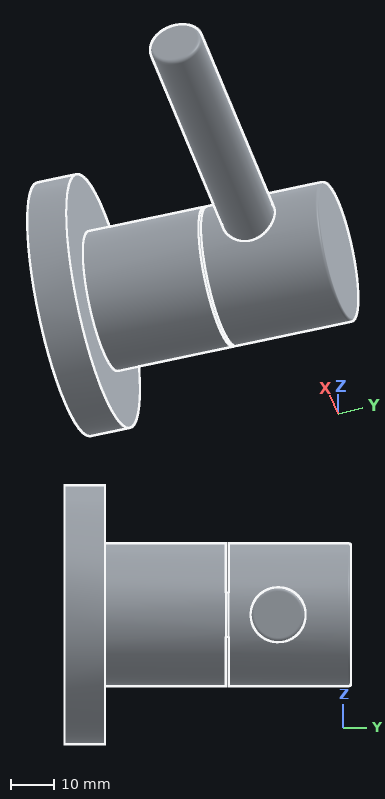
import cadquery as cq

flange_diameter = 60.3
flange_thickness = 9.5
body_diameter = 33.2
total_depth = 66.6
gap_start = 37.5
gap_width = 0.6
neck_diameter = 10.4
cap_edge_radius = 0.6

lever_diameter = 12.8
lever_axis_y = 49.6
lever_edge_radius = 1.0
overall_length = 106.5
lever_tip_x = overall_length - flange_diameter / 2


def disc_along_y(diameter, start, end):
    """Cylinder on the body axis between two Y positions."""
    plane = cq.Workplane("XZ", origin=(0, start, 0))
    return plane.circle(diameter / 2).extrude(start - end)


flange = disc_along_y(flange_diameter, 0, flange_thickness)
sleeve = disc_along_y(body_diameter, 0, gap_start)

cap_start = gap_start + gap_width
neck = disc_along_y(neck_diameter, gap_start, cap_start)

cap = disc_along_y(body_diameter, cap_start, total_depth)
cap = cap.faces(">Y").fillet(cap_edge_radius)

lever = (
    cq.Workplane("YZ", origin=(0, lever_axis_y, 0))
    .circle(lever_diameter / 2)
    .extrude(lever_tip_x)
    .faces(">X")
    .fillet(lever_edge_radius)
)

result = flange.union(sleeve).union(neck).union(cap).union(lever)